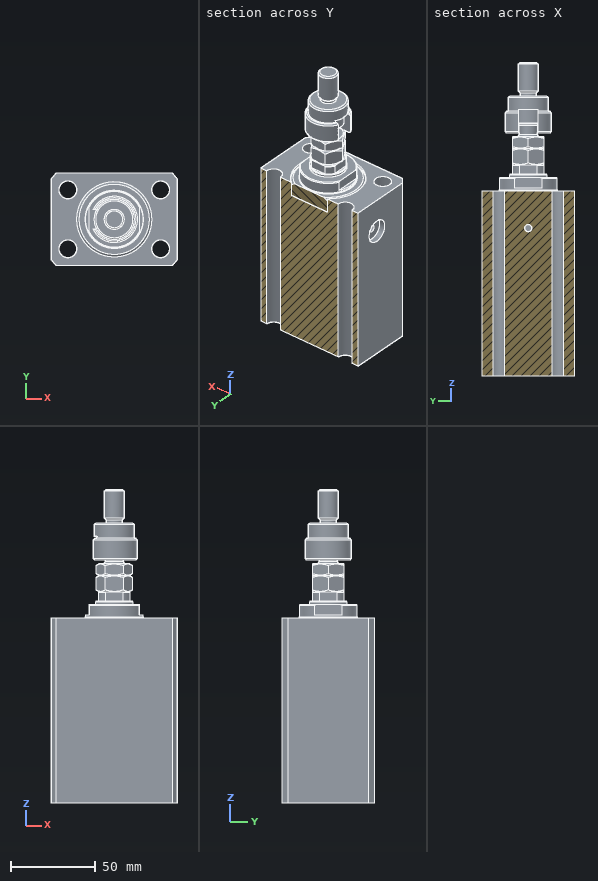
import cadquery as cq
import math

block_x = 75.0
block_y = 55.0
block_top = 110.0
corner_x = 3.0
corner_y = 3.5
bolt_radius = 5.2
bolt_pitch_x = 55.0
bolt_pitch_y = 35.0
port_drop = 22.1
port_radius = 7.3
port_depth = 3.9
port_drill_radius = 2.0
port_drill_depth = 3.7

gland_radius = 22.3
gland_depth = 9.3
gland_bevel = 1.5
hub_radius = 17.1
hub_height = 8.0
hub_rim_radius = 17.3
hub_rim_height = 0.5
hub_bevel = 0.5
hub_flats = 30.0
hub_collar = 1.7

rod_radius = 11.2
rod_shoulder = 1.9
rod_bevel = 0.4
rod_square = 18.8
rod_corner_radius = 10.8
rod_end_bevel = 0.4
rod_top = 125.4

hex_flats = 18.8
hex_turned_radius = 9.0
hex_step = 135.0
hex_top = 142.1
neck_flare_radius = 6.1
neck_flare_height = 1.3
neck_radius = 5.4
throat_height = 0.5
throat_flare_height = 1.0
head_radius = 9.5
head_bottom = 150.3
head_top = 158.3

housing_bottom = 144.2
housing_step = 157.2
housing_top = 166.3
skirt_radius = 13.8
crown_radius = 11.9
housing_bevel = 1.0
slot_width = 11.5
stud_radius = 6.0
stud_neck_radius = 4.8
stud_start = 169.0
stud_bevel = 1.0
total_height = 186.0

gland_bottom = block_top - gland_depth
hub_top = block_top + hub_height
shoulder_top = hub_top + rod_shoulder


def cylinder(radius, bottom, top):
    """Upright cylinder about the Z axis between two levels."""
    return cq.Workplane("XY").workplane(offset=bottom).circle(radius).extrude(top - bottom)


def bar(size_x, size_y, bottom, top):
    """Upright rectangular bar centred on the Z axis between two levels."""
    return cq.Workplane("XY").workplane(offset=bottom).rect(size_x, size_y).extrude(top - bottom)


def cone(bottom_radius, top_radius, bottom, top):
    """Truncated cone about the Z axis between two levels."""
    return cq.Workplane("XY").add(
        cq.Solid.makeCone(bottom_radius, top_radius, top - bottom, pnt=cq.Vector(0, 0, bottom))
    )


def make_block():
    """Bevelled block with bolt holes, gland seat and oil port."""
    half_x = block_x / 2
    half_y = block_y / 2
    bevel_x = half_x - corner_x
    bevel_y = half_y - corner_y
    corners = [
        (half_x, -bevel_y), (half_x, bevel_y), (bevel_x, half_y), (-bevel_x, half_y),
        (-half_x, bevel_y), (-half_x, -bevel_y), (-bevel_x, -half_y), (bevel_x, -half_y),
    ]
    block = cq.Workplane("XY").polyline(corners).close().extrude(block_top)

    bolts = cq.Workplane("XY").rarray(bolt_pitch_x, bolt_pitch_y, 2, 2)
    block = block.cut(bolts.circle(bolt_radius).extrude(block_top))

    block = block.cut(cylinder(gland_radius, gland_bottom, block_top))

    port = cq.Workplane("YZ", origin=(-half_x, 0, block_top - port_drop))
    block = block.cut(port.circle(port_radius).extrude(port_depth))
    return block.cut(port.circle(port_drill_radius).extrude(port_depth + port_drill_depth))


def make_gland():
    """Sunk disc and flatted hub, bored for the rod."""
    disc = cylinder(gland_radius, gland_bottom, block_top).faces(">Z").chamfer(gland_bevel)
    hub = cylinder(hub_radius, block_top, hub_top).faces(">Z").chamfer(hub_bevel)
    flat_part = bar(hub_flats, 2 * hub_radius, block_top + hub_collar, hub_top)
    collar = cylinder(hub_radius, block_top, block_top + hub_collar)
    hub = hub.intersect(flat_part.union(collar))
    rim = cylinder(hub_rim_radius, block_top, block_top + hub_rim_height)
    return disc.union(hub).union(rim).cut(cylinder(rod_radius, gland_bottom, hub_top))


def make_rod():
    """Round rod ending in a square with rounded corners."""
    shank = cylinder(rod_radius, gland_bottom, shoulder_top).faces(">Z").chamfer(rod_bevel)
    end = cylinder(rod_corner_radius, shoulder_top, rod_top).faces(">Z").chamfer(rod_end_bevel)
    return shank.union(end.intersect(bar(rod_square, rod_square, shoulder_top, rod_top)))


def make_hexagon(bottom, top):
    """Hexagon with corners on the X axis, both ends turned to 30 degree bevels."""
    corner_radius = hex_flats / math.sqrt(3)
    bevel = (corner_radius - hex_turned_radius) * math.tan(math.radians(30))
    prism = (
        cq.Workplane("XY").workplane(offset=bottom)
        .polygon(6, 2 * corner_radius).extrude(top - bottom)
    )
    turned = (
        cone(hex_turned_radius, corner_radius, bottom, bottom + bevel)
        .union(cylinder(corner_radius, bottom + bevel, top - bevel))
        .union(cone(corner_radius, hex_turned_radius, top - bevel, top))
    )
    return prism.intersect(turned)


def make_pin():
    """Two stacked hexagons, a neck flared at both ends, and a round head."""
    flare_top = hex_top + neck_flare_height
    throat_radius = slot_width / 2
    throat_bottom = head_bottom - throat_height
    neck_top = throat_bottom - throat_flare_height
    return (
        make_hexagon(rod_top, hex_step)
        .union(make_hexagon(hex_step, hex_top))
        .union(cone(neck_flare_radius, neck_radius, hex_top, flare_top))
        .union(cylinder(neck_radius, flare_top, neck_top))
        .union(cone(neck_radius, throat_radius, neck_top, throat_bottom))
        .union(cylinder(throat_radius, throat_bottom, head_bottom))
        .union(cylinder(head_radius, head_bottom, head_top))
    )


def make_housing():
    """Stepped round housing with a stud on top and a side slot for the pin."""
    skirt = cylinder(skirt_radius, housing_bottom, housing_step).faces("<Z or >Z").chamfer(housing_bevel)
    crown = cylinder(crown_radius, housing_step, housing_top).faces(">Z").chamfer(housing_bevel)
    stud = cylinder(stud_radius, stud_start, total_height).faces(">Z").chamfer(stud_bevel)
    run_out_bottom = stud_start - (stud_radius - stud_neck_radius)
    body = (
        skirt.union(crown)
        .union(cylinder(stud_neck_radius, housing_top, run_out_bottom))
        .union(cone(stud_neck_radius, stud_radius, run_out_bottom, stud_start))
        .union(stud)
    )

    slot_height = head_top - housing_bottom
    slot = (
        cq.Workplane("XY").workplane(offset=housing_bottom)
        .center(-skirt_radius / 2, 0).rect(skirt_radius, slot_width).extrude(slot_height)
        .union(cylinder(slot_width / 2, housing_bottom, head_top))
    )
    return body.cut(slot).cut(cylinder(head_radius, head_bottom, head_top))


block = make_block()
gland = make_gland()
rod = make_rod()
pin = make_pin()
housing = make_housing()

bodies = [block, gland, rod, pin, housing]
result = cq.Compound.makeCompound([body.solids().val() for body in bodies])